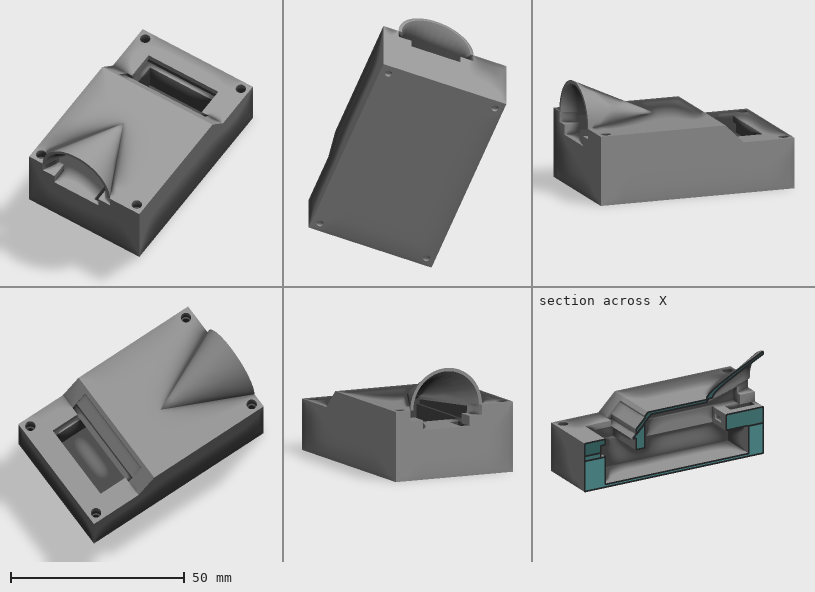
import cadquery as cq

WIDTH = 37.94
LENGTH = 59.78
TOTAL_HEIGHT = 32.12

FLOOR_TOP = 1.0
BASE_TOP = 9.55
REAR_SEAM = 11.07
POCKET_FLOOR = 11.15
TRAY_BOTTOM = 12.7
DECK_UNDERSIDE = 13.15
TRAY_TOP = 14.5
DECK_TOP = 15.0
FRONT_SEAM = 17.45
LID_TOP = 20.52
ROOF_THICKNESS = 1.0

SLOPE_TOP_Y = 38.55
SLOPE_SUM = SLOPE_TOP_Y + LID_TOP
PANEL_DROP = 2.05
SEAM_SUM = SLOPE_SUM - PANEL_DROP
FRONT_SEAM_END = SEAM_SUM - FRONT_SEAM
REAR_SEAM_START = SEAM_SUM - REAR_SEAM
SLOPE_FOOT_Y = SLOPE_SUM - DECK_TOP

SCREW_INSET = 2.5
LID_HOLE_DIAMETER = 3.0
SCREW_HOLE_DIAMETER = 2.0

HOOD_X = 16.25
HOOD_RADIUS = TOTAL_HEIGHT - LID_TOP
HOOD_LENGTH = 25.0
HOOD_WALL = 1.0
MOUTH_AXIS_Z = (LID_TOP + FRONT_SEAM) / 2

CHAMBER_FRONT = 5.0
CHAMBER_WIDTH = 22.9
CHAMBER_LEFT = HOOD_X - CHAMBER_WIDTH / 2
CHAMBER_RIGHT = HOOD_X + CHAMBER_WIDTH / 2
NOTCH_WIDTH = 15.1
NOTCH_LEFT = HOOD_X - NOTCH_WIDTH / 2
NOTCH_RIGHT = HOOD_X + NOTCH_WIDTH / 2
WELL_MARGIN = 0.9
WELL_FRONT = 12.6
SLOT_LEFT = 21.6
SLOT_RIGHT = 25.0
SLOT_FRONT = 1.2
SLOT_BACK = 9.5

WINDOW_LEFT = 6.6
WINDOW_RIGHT = 30.6
WINDOW_BACK = 52.8
SHELF_WIDTH = 1.5
DISPLAY_FRONT = 42.6

OPENING_LEFT = 5.0
OPENING_RIGHT = 33.15
RECESS_FRONT = 39.6
RECESS_DROP = 0.5

CAVITY_LEFT = 7.1


def block(x0, x1, y0, y1, z0, z1):
    """Box between two opposite corners."""
    return cq.Workplane("XY").box(x1 - x0, y1 - y0, z1 - z0, centered=False).translate((x0, y0, z0))


def side_profile(points, x0, x1):
    """Outline of (y, z) points extruded from x0 to x1."""
    return cq.Workplane("YZ", origin=(x0, 0, 0)).polyline(points).close().extrude(x1 - x0)


def cone(radius, length, axis_z):
    """Solid cone with its round end on the front face and its tip toward the rear."""
    base_center = cq.Vector(HOOD_X, 0, axis_z)
    return cq.Workplane(obj=cq.Solid.makeCone(radius, 0, length, base_center, cq.Vector(0, 1, 0)))


def screw_holes(diameter):
    """Four vertical cutters, one in each corner."""
    spots = [
        (x, y)
        for x in (SCREW_INSET, WIDTH - SCREW_INSET)
        for y in (SCREW_INSET, LENGTH - SCREW_INSET)
    ]
    return cq.Workplane("XY").pushPoints(spots).circle(diameter / 2).extrude(TOTAL_HEIGHT)


def display_chamber():
    """Space under the deck that the frame and the lid share."""
    left = WINDOW_LEFT - SHELF_WIDTH
    right = WINDOW_RIGHT + SHELF_WIDTH
    back = WINDOW_BACK + SHELF_WIDTH
    return block(left, right, DISPLAY_FRONT, back, BASE_TOP, DECK_UNDERSIDE)


def make_base():
    body = block(0, WIDTH, 0, LENGTH, 0, BASE_TOP)
    cavity = block(CAVITY_LEFT, WINDOW_RIGHT, CHAMBER_FRONT, WINDOW_BACK, FLOOR_TOP, BASE_TOP)
    return body.cut(cavity).cut(screw_holes(SCREW_HOLE_DIAMETER))


def make_frame():
    outline = [
        (0, BASE_TOP),
        (0, FRONT_SEAM),
        (FRONT_SEAM_END, FRONT_SEAM),
        (REAR_SEAM_START, REAR_SEAM),
        (LENGTH, REAR_SEAM),
        (LENGTH, BASE_TOP),
    ]
    body = side_profile(outline, 0, WIDTH)

    chamber = block(CHAMBER_LEFT, CHAMBER_RIGHT, CHAMBER_FRONT, FRONT_SEAM_END, TRAY_TOP, FRONT_SEAM)
    notch = block(NOTCH_LEFT, NOTCH_RIGHT, 0, CHAMBER_FRONT, TRAY_TOP, FRONT_SEAM)

    well_left = CHAMBER_LEFT + WELL_MARGIN
    well_right = CHAMBER_RIGHT - WELL_MARGIN
    well = block(well_left, well_right, WELL_FRONT, FRONT_SEAM_END, BASE_TOP, TRAY_TOP)

    slot = block(SLOT_LEFT, SLOT_RIGHT, SLOT_FRONT, SLOT_BACK, POCKET_FLOOR, TRAY_TOP)
    pocket = block(SLOT_LEFT, SLOT_RIGHT, SLOT_FRONT, WELL_FRONT, POCKET_FLOOR, TRAY_BOTTOM)

    body = body.cut(chamber).cut(notch).cut(well).cut(slot).cut(pocket)
    return body.cut(display_chamber()).cut(screw_holes(SCREW_HOLE_DIAMETER))


def make_hood():
    """Half of a hollow cone that stands on the lid: its wall turned half way round the axis."""
    inner_radius = HOOD_RADIUS - HOOD_WALL
    inner_length = HOOD_LENGTH * inner_radius / HOOD_RADIUS
    wall = [(HOOD_RADIUS, 0), (0, HOOD_LENGTH), (0, inner_length), (inner_radius, 0)]
    axis_start = (0, 0)
    axis_end = (0, -1)
    plane = cq.Workplane("XY", origin=(HOOD_X, 0, LID_TOP))
    return plane.polyline(wall).close().revolve(180, axis_start, axis_end)


def make_lid():
    outline = [
        (0, FRONT_SEAM),
        (0, LID_TOP),
        (SLOPE_TOP_Y, LID_TOP),
        (SLOPE_FOOT_Y, DECK_TOP),
        (LENGTH, DECK_TOP),
        (LENGTH, REAR_SEAM),
        (REAR_SEAM_START, REAR_SEAM),
        (FRONT_SEAM_END, FRONT_SEAM),
    ]
    body = side_profile(outline, 0, WIDTH)

    roof_underside = LID_TOP - ROOF_THICKNESS
    hollow_outline = [
        (CHAMBER_FRONT, FRONT_SEAM),
        (CHAMBER_FRONT, roof_underside),
        (SEAM_SUM - roof_underside, roof_underside),
        (FRONT_SEAM_END, FRONT_SEAM),
    ]
    hollow = side_profile(hollow_outline, CHAMBER_LEFT, CHAMBER_RIGHT)

    mouth = cone(HOOD_RADIUS, HOOD_LENGTH, MOUTH_AXIS_Z)

    window = block(WINDOW_LEFT, WINDOW_RIGHT, SLOPE_FOOT_Y, WINDOW_BACK, REAR_SEAM, DECK_TOP)
    gap = block(OPENING_LEFT, OPENING_RIGHT, DISPLAY_FRONT, SLOPE_FOOT_Y, REAR_SEAM, LID_TOP)

    recess_sum = SLOPE_SUM - RECESS_DROP
    recess_outline = [
        (RECESS_FRONT, recess_sum - RECESS_FRONT),
        (RECESS_FRONT, LID_TOP),
        (DISPLAY_FRONT, LID_TOP),
        (DISPLAY_FRONT, recess_sum - DISPLAY_FRONT),
    ]
    recess = side_profile(recess_outline, OPENING_LEFT, OPENING_RIGHT)

    body = body.cut(hollow).cut(mouth).cut(display_chamber())
    body = body.cut(window).cut(gap).cut(recess).cut(screw_holes(LID_HOLE_DIAMETER))
    return body.union(make_hood())


base = make_base()
frame = make_frame()
lid = make_lid()

result = cq.Compound.makeCompound([base.solids().val(), frame.solids().val(), lid.solids().val()])